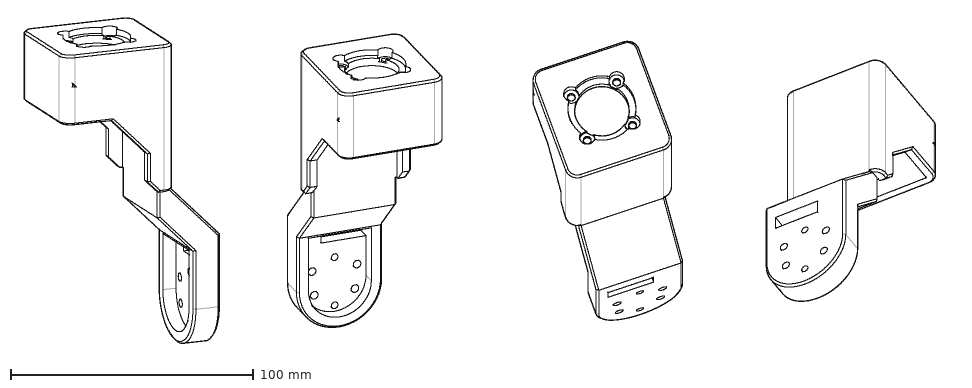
import cadquery as cq


housing_width = 46.0
housing_depth = 50.0
block_height = 30.0
column_depth = 12.0
slope_run = 16.0
column_height = 63.0
column_toe = 5.0
corner_radius = 5.0
edge_chamfer = 1.0

side_wall = 4.0
front_wall = 4.0
back_wall = 6.0
top_plate = 6.0
cavity_width = housing_width - 2 * side_wall
cavity_depth = housing_depth - front_wall - back_wall

bore_center_y = -25.4
bore_diameter = 22.5
recess_diameter = 28.1
recess_depth = 2.5
plate_screw_spacing = 19.8
plate_screw_diameter = 3.2
plate_screw_head_diameter = 6.3
plate_screw_head_depth = 4.0

notch_size = 1.6
notch_floor_z = -13.5

arm_width = cavity_width
arm_offset = 22.0
arm_thickness = 11.9
total_height = 135.0
arm_back_y = arm_offset
arm_front_y = arm_back_y - arm_thickness
front_bend_z = -75.2
front_bend_run = arm_front_y + back_wall
arm_root_z = -column_height + column_toe
arm_end_radius = arm_width / 2
arm_end_z = -total_height + arm_end_radius

pocket_width = 28.0
pocket_depth = 6.0
pocket_top_z = -92.0
slot_width = 20.0
slot_height = 6.1
arm_hole_diameter = 3.4
pole_hole_diameter = 3.0
hole_pattern_z = -116.4
pole_hole_offset = 11.0
upper_hole_x = 10.0
upper_hole_offset = 6.1
lower_hole_x = 9.0
lower_hole_offset = 4.9


def side_prism(points, width):
    """Extrude a (Y, Z) outline symmetrically along X."""
    return cq.Workplane("YZ").polyline(points).close().extrude(width / 2, both=True)


def round_ended_prism(width, top_z, front_y, depth):
    """Upright plate with a semicircular lower end, reaching from front_y towards +Y."""
    half = width / 2
    return (
        cq.Workplane("XZ", origin=(0, front_y, 0))
        .moveTo(-half, top_z)
        .lineTo(-half, arm_end_z)
        .threePointArc((0, arm_end_z - half), (half, arm_end_z))
        .lineTo(half, top_z)
        .close()
        .extrude(-depth)
    )


def make_housing():
    outline = [
        (0, 0),
        (-housing_depth, 0),
        (-housing_depth, -block_height),
        (-column_depth - slope_run, -block_height),
        (-column_depth, -block_height - slope_run),
        (-column_depth, -column_height + column_toe),
        (-column_depth + column_toe, -column_height),
        (0, -column_height),
    ]
    body = side_prism(outline, housing_width)
    body = body.faces("<Y or >Y").edges("|Z").fillet(corner_radius)
    column_edges = cq.selectors.BoxSelector(
        (-housing_width, -column_depth - edge_chamfer, -column_height),
        (housing_width, -column_depth + edge_chamfer, -block_height),
    )
    side_faces = body.faces("<X or >X")
    rim = side_faces.edges("not |Z")
    rim = rim.add(side_faces.edges("|Z").edges(column_edges))
    body = rim.chamfer(edge_chamfer)
    cavity = cq.Workplane("XY").box(
        cavity_width, cavity_depth, column_height, centered=(True, False, False)
    )
    return body.cut(cavity.translate((0, -housing_depth + front_wall, -top_plate - column_height)))


def make_arm():
    outline = [
        (-back_wall, arm_root_z),
        (-back_wall, front_bend_z),
        (arm_front_y, front_bend_z - front_bend_run),
        (arm_front_y, -total_height),
        (arm_back_y, -total_height),
        (arm_back_y, -column_height - arm_offset),
        (0, -column_height),
        (0, arm_root_z),
    ]
    arm = side_prism(outline, arm_width)
    arm = arm.intersect(
        round_ended_prism(arm_width, arm_root_z, -back_wall, back_wall + arm_back_y)
    )
    return arm.faces("<X or >X").edges("not |Y").chamfer(edge_chamfer)


def cut_top_plate(body):
    plate = cq.Workplane("XY", origin=(0, bore_center_y, 0))
    body = body.cut(plate.circle(bore_diameter / 2).extrude(-top_plate))
    body = body.cut(plate.circle(recess_diameter / 2).extrude(-recess_depth))
    screws = plate.rect(plate_screw_spacing, plate_screw_spacing, forConstruction=True).vertices()
    body = body.cut(screws.circle(plate_screw_diameter / 2).extrude(-top_plate))
    return body.cut(screws.circle(plate_screw_head_diameter / 2).extrude(-plate_screw_head_depth))


def cut_side_notches(body):
    front_y = -housing_depth + front_wall
    outline = [
        (front_y, notch_floor_z),
        (front_y, notch_floor_z + notch_size),
        (front_y + notch_size, notch_floor_z),
    ]
    return body.cut(side_prism(outline, housing_width))


def cut_arm_pocket(body):
    body = body.cut(round_ended_prism(pocket_width, pocket_top_z, arm_front_y, pocket_depth))
    floor = cq.Workplane("XZ", origin=(0, arm_front_y, 0))
    slot = floor.center(
        (pocket_width - slot_width) / 2, pocket_top_z - slot_height / 2
    ).rect(slot_width, slot_height)
    body = body.cut(slot.extrude(-arm_thickness))
    pole_holes = [
        (0, hole_pattern_z + pole_hole_offset),
        (0, hole_pattern_z - pole_hole_offset),
    ]
    side_holes = []
    for side in (-1, 1):
        side_holes.append((side * upper_hole_x, hole_pattern_z + upper_hole_offset))
        side_holes.append((side * lower_hole_x, hole_pattern_z - lower_hole_offset))
    for places, diameter in ((pole_holes, pole_hole_diameter), (side_holes, arm_hole_diameter)):
        body = body.cut(floor.pushPoints(places).circle(diameter / 2).extrude(-arm_thickness))
    return body


result = make_housing().union(make_arm())
result = cut_top_plate(result)
result = cut_side_notches(result)
result = cut_arm_pocket(result)